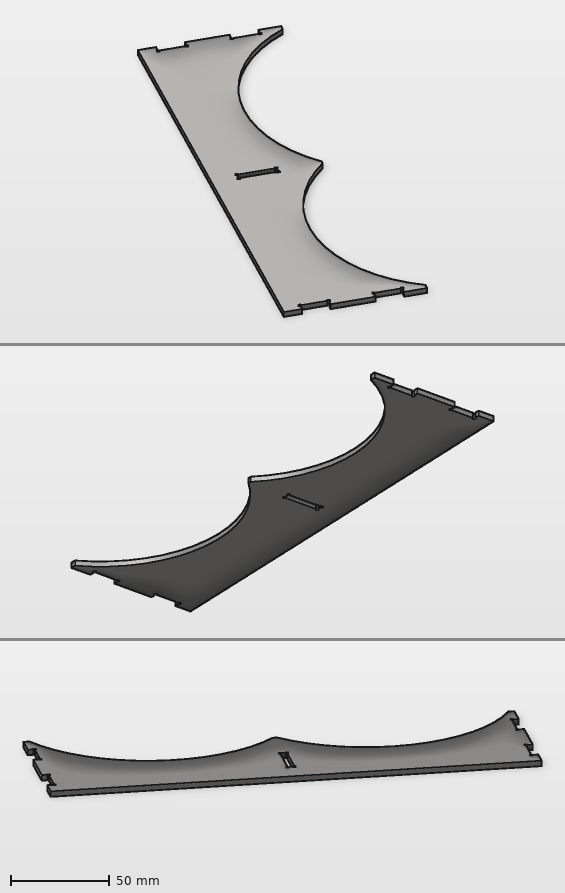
import cadquery as cq

length = 254.0
height = 76.2
thickness = 3.0

cradle_radius = 76.2
cradle_offset = 56.5
cradle_floor = 35.3
peak_height = 59.2

notch_depth = 3.5
notch_length = 15.2
notch_centers = (17.3, 56.5)

slot_width = 3.5
slot_length = 21.0
slot_center = 25.0

relief_radius = 0.8


def box_cutter(center_x, center_y, width, depth):
    return cq.Workplane("XY").center(center_x, center_y).rect(width, depth).extrude(thickness)


def relief_cutter(points):
    return cq.Workplane("XY").pushPoints(points).circle(relief_radius).extrude(thickness)


def plate():
    return box_cutter(0, height / 2, length, height)


def cut_cradles(body):
    cradle_center_y = cradle_floor + cradle_radius
    for side in (-1, 1):
        cradle = (
            cq.Workplane("XY")
            .center(side * cradle_offset, cradle_center_y)
            .circle(cradle_radius)
            .extrude(thickness)
        )
        body = body.cut(cradle)
    peak_trim = box_cutter(0, (peak_height + height) / 2, 2 * cradle_offset, height - peak_height)
    return body.cut(peak_trim)


def cut_notches(body):
    for side in (-1, 1):
        inner_x = side * (length / 2 - notch_depth)
        for center_y in notch_centers:
            notch = box_cutter(side * length / 2, center_y, 2 * notch_depth, notch_length)
            corners = [(inner_x, center_y + end * notch_length / 2) for end in (-1, 1)]
            body = body.cut(notch).cut(relief_cutter(corners))
    return body


def cut_slot(body):
    slot = box_cutter(0, slot_center, slot_width, slot_length)
    corners = [
        (side * slot_width / 2, slot_center + end * slot_length / 2)
        for side in (-1, 1)
        for end in (-1, 1)
    ]
    return body.cut(slot).cut(relief_cutter(corners))


result = cut_slot(cut_notches(cut_cradles(plate())))